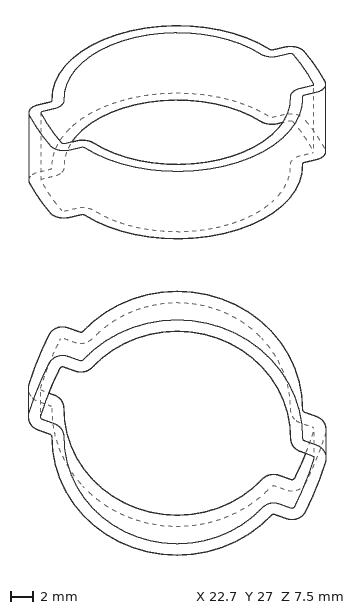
import cadquery as cq
import math

length = 27.0
band_diameter = 22.7
band_width = 7.5
wall = 1.1
ear_width = 7.6
crown_radius = 31.85
inner_bend_radius = 0.27
outer_bend_radius = inner_bend_radius + wall


def ring_with_ears(inset, crown_bend_radius, foot_bend_radius):
    """Solid bounded by the clamp outline, moved inward by inset."""
    radius = band_diameter / 2 - inset
    half_width = ear_width / 2 - inset
    crown_y = length / 2 - inset
    arc_radius = crown_radius - inset
    foot_y = math.sqrt(radius**2 - half_width**2)
    corner_y = crown_y - arc_radius + math.sqrt(arc_radius**2 - half_width**2)

    body = (
        cq.Workplane("XY")
        .moveTo(half_width, foot_y)
        .lineTo(half_width, corner_y)
        .threePointArc((0, crown_y), (-half_width, corner_y))
        .lineTo(-half_width, foot_y)
        .threePointArc((-radius, 0), (-half_width, -foot_y))
        .lineTo(-half_width, -corner_y)
        .threePointArc((0, -crown_y), (half_width, -corner_y))
        .lineTo(half_width, -foot_y)
        .threePointArc((radius, 0), (half_width, foot_y))
        .close()
        .extrude(band_width)
    )
    body = body.edges("|Z").edges("<<Y[-2] or >>Y[-2]").fillet(foot_bend_radius)
    return body.edges("|Z").edges("<Y or >Y").fillet(crown_bend_radius)


outside = ring_with_ears(0, outer_bend_radius, inner_bend_radius)
opening = ring_with_ears(wall, inner_bend_radius, outer_bend_radius)

result = outside.cut(opening)